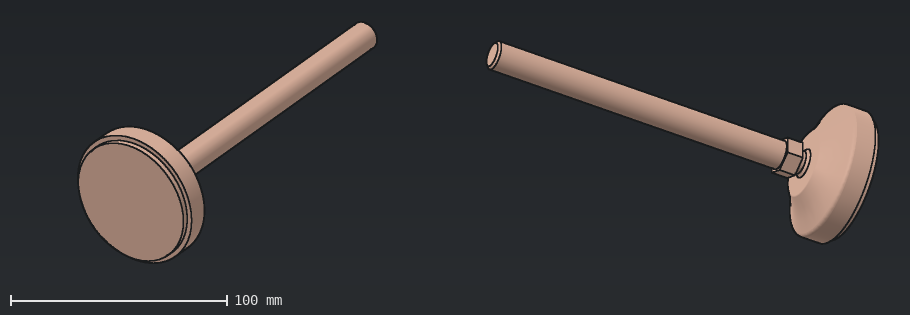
import cadquery as cq
import math


sole_diameter = 60.0
sole_height = 3.0
base_diameter = 65.0
base_top_diameter = 32.0
base_top_y = 23.5
rim_corner_y = 14.0
rim_fillet = 2.0
top_fillet = 1.0
flank_radius = 50.0

neck_diameter = 11.0
flare_diameter = 14.0
flare_height = (flare_diameter - neck_diameter) / 2

hex_sides = 6
hex_across_flats = 16.0
hex_start_y = 28.0
hex_height = 8.0

stud_diameter = 14.0
stud_length = 150.0
stud_chamfer = 1.25


def cylinder(diameter, start_y, height):
    """Cylinder on the Y axis, rising from start_y."""
    plane = cq.Workplane("XZ", origin=(0, start_y, 0))
    return plane.circle(diameter / 2).extrude(-height)


def flank_middle(outer, inner):
    """Middle point of the concave flank arc between two (radius, y) points."""
    run = outer[0] - inner[0]
    rise = inner[1] - outer[1]
    chord = math.hypot(run, rise)
    sagitta = flank_radius - math.sqrt(flank_radius**2 - (chord / 2) ** 2)
    middle_radius = (outer[0] + inner[0]) / 2 - sagitta * rise / chord
    middle_y = (outer[1] + inner[1]) / 2 - sagitta * run / chord
    return middle_radius, middle_y


def make_base():
    """Round base with a concave flank and rounded rim and top edges."""
    rim = (base_diameter / 2, rim_corner_y)
    top = (base_top_diameter / 2, base_top_y)
    base = (
        cq.Workplane("XY")
        .moveTo(0, sole_height)
        .lineTo(base_diameter / 2, sole_height)
        .lineTo(*rim)
        .threePointArc(flank_middle(rim, top), top)
        .lineTo(0, base_top_y)
        .close()
        .revolve(360, (0, 0, 0), (0, 1, 0))
    )
    base = base.faces(">Y").edges().fillet(top_fillet)
    half_band = rim_fillet / 2
    rim_box = cq.selectors.BoxSelector(
        (-base_diameter, rim_corner_y - half_band, -base_diameter),
        (base_diameter, rim_corner_y + half_band, base_diameter),
        boundingbox=True,
    )
    return base.edges(rim_box).fillet(rim_fillet)


def make_neck():
    """Neck between base and hexagon, flared where it meets the base."""
    return (
        cq.Workplane("XY")
        .moveTo(0, base_top_y)
        .lineTo(flare_diameter / 2, base_top_y)
        .lineTo(neck_diameter / 2, base_top_y + flare_height)
        .lineTo(neck_diameter / 2, hex_start_y)
        .lineTo(0, hex_start_y)
        .close()
        .revolve(360, (0, 0, 0), (0, 1, 0))
    )


def make_hexagon():
    """Hexagon with flats facing -X and +X and corners pointing along Z."""
    across_corners = hex_across_flats / math.cos(math.pi / hex_sides)
    plane = cq.Workplane("XZ", origin=(0, hex_start_y, 0))
    return plane.transformed(rotate=(0, 0, 90)).polygon(hex_sides, across_corners).extrude(-hex_height)


def make_stud():
    """Plain stud with a chamfered tip."""
    stud = cylinder(stud_diameter, hex_start_y + hex_height, stud_length)
    return stud.faces(">Y").chamfer(stud_chamfer)


sole = cylinder(sole_diameter, 0, sole_height)
result = sole.union(make_base()).union(make_neck()).union(make_hexagon()).union(make_stud())